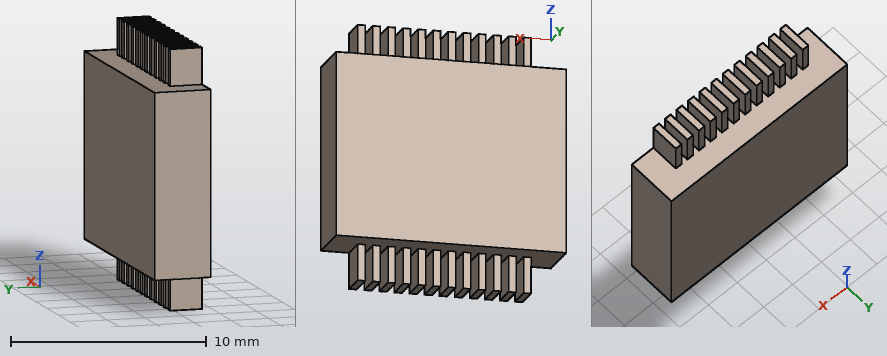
import cadquery as cq

width = 12.2
depth = 3.0
total_height = 13.6

pin_length = 1.92
pin_width = 0.4
pin_depth = 1.7
pin_count = 12
pin_row_span = 8.8
pin_pitch = pin_row_span / (pin_count - 1)

body_height = total_height - 2 * pin_length


def make_body():
    """Plain block, front face at Y = 0, centred on X and Z."""
    return cq.Workplane("XY").box(width, depth, body_height, centered=(True, False, True))


def make_pin_row():
    """Row of full-height bars; their ends beyond the body form both rows of pins."""
    return (
        cq.Workplane("XY")
        .rarray(pin_pitch, 0.14, pin_count, 1)
        .rect(pin_width, pin_depth)
        .extrude(total_height)
        .translate((0, pin_depth / 2, -total_height / 2))
    )


result = make_body().union(make_pin_row()).clean()